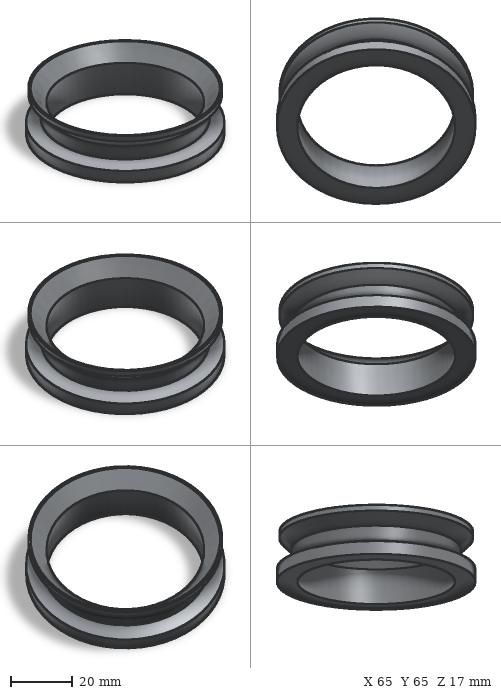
import cadquery as cq

flange_diameter = 65.0
rim_diameter = 63.5
neck_diameter = 55.5
bore_diameter = 51.6
mouth_diameter = 62.0

total_height = 17.0
flange_edge_top = 4.35
neck_bottom = 6.0
rim_edge_height = 2.0
rim_bottom = total_height - rim_edge_height

neck_top = rim_bottom - (rim_diameter - neck_diameter) / 2
mouth_depth = (mouth_diameter - bore_diameter) / 2

section = (
    cq.Workplane("XZ")
    .moveTo(bore_diameter / 2, 0)
    .lineTo(flange_diameter / 2, 0)
    .lineTo(flange_diameter / 2, flange_edge_top)
    .lineTo(neck_diameter / 2, neck_bottom)
    .lineTo(neck_diameter / 2, neck_top)
    .lineTo(rim_diameter / 2, rim_bottom)
    .lineTo(rim_diameter / 2, total_height)
    .lineTo(mouth_diameter / 2, total_height)
    .lineTo(bore_diameter / 2, total_height - mouth_depth)
    .close()
)

result = section.revolve(360, (0, 0, 0), (0, 1, 0))